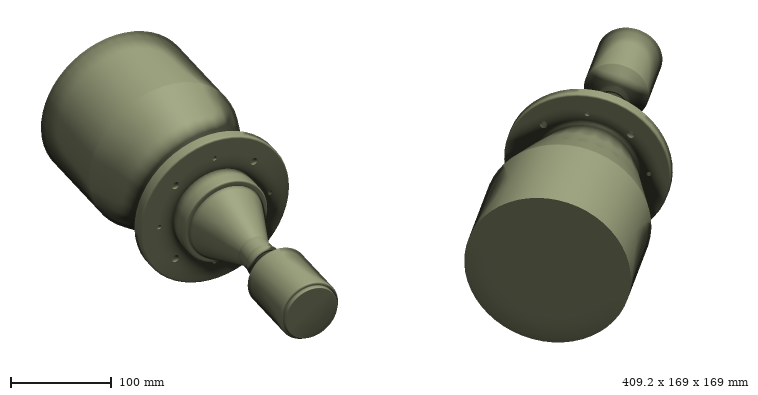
import cadquery as cq
import math


barrel_radius = 84.5
barrel_end = 100.5
barrel_blend = 4.0
front_cone_end = 189.0
front_cone_angle = 20.0
front_cone_drop = (front_cone_end - barrel_end) * math.tan(math.radians(front_cone_angle))
front_neck_radius = barrel_radius - front_cone_drop

flange_front = 194.0
flange_thickness = 12.7
flange_back = flange_front + flange_thickness
flange_radius = barrel_radius
flange_edge_fillet = 2.0
flange_root_fillet = 3.0

hole_circle_radius = 62.5
holes_per_set = 4
bolt_hole_diameter = 8.0
bolt_hole_first_angle = 45.0
small_hole_diameter = 5.0
small_hole_first_angle = 0.0

collar_radius = 47.5
collar_end = 230.0
collar_edge_fillet = 2.0

rear_cone_start_radius = 41.5
rear_cone_end = 289.0
neck_radius = 17.0
ring_start = 307.5
ring_end = 316.3
ring_radius = 18.3
neck_end = 318.4

housing_start = 336.5
housing_end = 404.8
housing_radius = 33.0
housing_cone_blend = 2.0
housing_edge_fillet = 2.0
cap_radius = 29.3
cap_end = 409.2
cap_root_fillet = 0.8
cap_edge_fillet = 0.6

half_profile = [
    (0, 0, 0),
    (0, barrel_radius, 0),
    (barrel_end, barrel_radius, barrel_blend),
    (front_cone_end, front_neck_radius, 0),
    (flange_front, front_neck_radius, flange_root_fillet),
    (flange_front, flange_radius, flange_edge_fillet),
    (flange_back, flange_radius, flange_edge_fillet),
    (flange_back, collar_radius, 0),
    (collar_end, collar_radius, collar_edge_fillet),
    (collar_end, rear_cone_start_radius, 0),
    (rear_cone_end, neck_radius, 0),
    (ring_start, neck_radius, 0),
    (ring_start, ring_radius, 0),
    (ring_end, ring_radius, 0),
    (ring_end, neck_radius, 0),
    (neck_end, neck_radius, housing_cone_blend),
    (housing_start, housing_radius, housing_cone_blend),
    (housing_end, housing_radius, housing_edge_fillet),
    (housing_end, cap_radius, cap_root_fillet),
    (cap_end, cap_radius, cap_edge_fillet),
    (cap_end, 0, 0),
]


def corner_arc(before, corner, after, radius):
    """Start, middle and end of the arc that rounds a corner tangent to both its sides."""
    corner_point = cq.Vector(*corner)
    to_before = (cq.Vector(*before) - corner_point).normalized()
    to_after = (cq.Vector(*after) - corner_point).normalized()
    half_angle = to_before.getAngle(to_after) / 2
    tangent_length = radius / math.tan(half_angle)
    middle_distance = radius / math.sin(half_angle) - radius
    bisector = (to_before + to_after).normalized()
    start = corner_point + to_before * tangent_length
    middle = corner_point + bisector * middle_distance
    end = corner_point + to_after * tangent_length
    return [point.toTuple()[:2] for point in (start, middle, end)]


def make_body():
    """Draw the half profile with its rounded corners and revolve it about X."""
    outline = cq.Workplane("XZ").moveTo(*half_profile[0][:2])
    for index in range(1, len(half_profile)):
        x, radius, rounding = half_profile[index]
        if rounding == 0:
            outline = outline.lineTo(x, radius)
            continue
        before = half_profile[index - 1][:2]
        after = half_profile[index + 1][:2]
        start, middle, end = corner_arc(before, (x, radius), after, rounding)
        outline = outline.lineTo(*start).threePointArc(middle, end)
    return outline.close().revolve(360, (0, 0, 0), (1, 0, 0))


def flange_holes(diameter, first_angle):
    """Cylinders through the flange, evenly spaced on the pitch circle."""
    return (
        cq.Workplane("YZ", origin=(flange_front, 0, 0))
        .polarArray(hole_circle_radius, first_angle, 360, holes_per_set)
        .circle(diameter / 2)
        .extrude(flange_thickness)
    )


bolt_holes = flange_holes(bolt_hole_diameter, bolt_hole_first_angle)
small_holes = flange_holes(small_hole_diameter, small_hole_first_angle)

result = make_body().cut(bolt_holes).cut(small_holes)